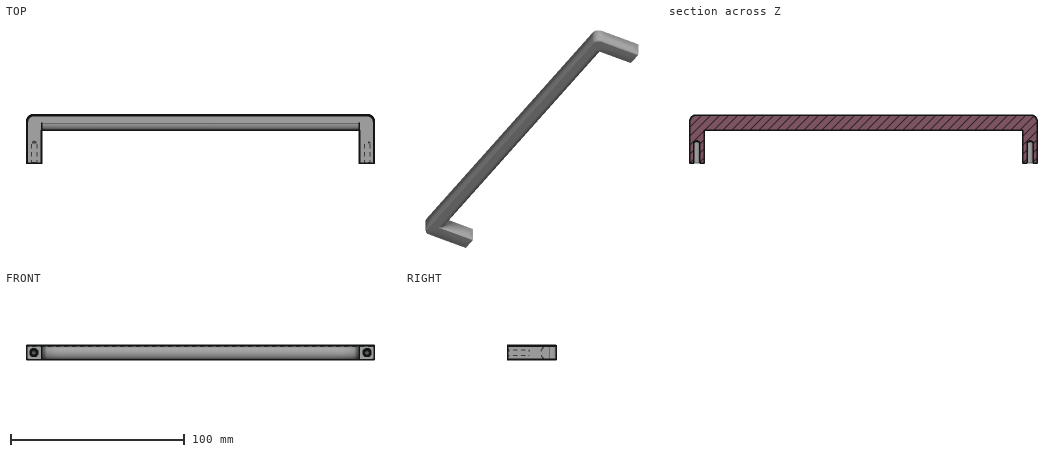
import cadquery as cq
import math

length = 200.0
depth = 28.0
height = 8.5
leg_width = 8.5
corner_radius = 4.0
edge_chamfer = 0.5
bar_flat_depth = 4.8
hole_inset = 4.2
hole_diameter = 3.2
countersink_diameter = 4.5
hole_depth = 12.0
hole_tip_angle = 118.0

half_length = length / 2
inner_half_length = half_length - leg_width
grip_radius = height / 2
grip_axis_y = depth - bar_flat_depth
hole_x = half_length - hole_inset


def make_frame():
    """U-shaped body with rounded outer corners; the legs end at Y = 0."""
    block = (
        cq.Workplane("XY")
        .box(length, depth, height, centered=(True, False, True))
        .edges("|Z and >Y")
        .fillet(corner_radius)
    )
    block = block.faces(">Y").edges("|X").chamfer(edge_chamfer)
    opening = cq.Workplane("XY").box(
        2 * inner_half_length, grip_axis_y, height, centered=(True, False, True)
    )
    return block.cut(opening)


def make_grip():
    """Round rod whose front half bulges into the opening between the legs."""
    return (
        cq.Workplane("YZ", origin=(-inner_half_length, 0, 0))
        .center(grip_axis_y, 0)
        .circle(grip_radius)
        .extrude(2 * inner_half_length)
        .intersect(
            cq.Workplane("XY").box(length, grip_axis_y, height, centered=(True, False, True))
        )
    )


def make_screw_hole(x):
    """Countersunk blind hole with a drill-point end, entering the foot of a leg."""
    radius = hole_diameter / 2
    mouth_radius = countersink_diameter / 2
    countersink_depth = mouth_radius - radius
    tip_length = radius / math.tan(math.radians(hole_tip_angle / 2))
    return (
        cq.Workplane("XY")
        .moveTo(x, 0)
        .lineTo(x + mouth_radius, 0)
        .lineTo(x + radius, countersink_depth)
        .lineTo(x + radius, hole_depth)
        .lineTo(x, hole_depth + tip_length)
        .close()
        .revolve(360, (x, 0, 0), (x, 1, 0))
    )


result = make_frame().union(make_grip())
for side in (-1, 1):
    result = result.cut(make_screw_hole(side * hole_x))